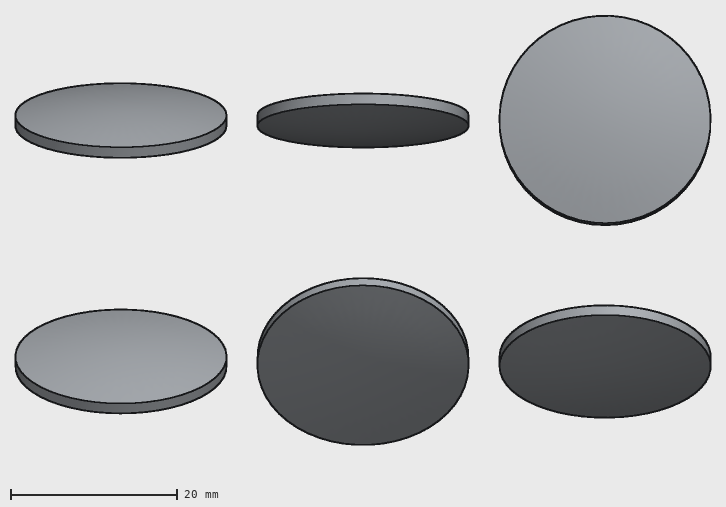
import cadquery as cq

lens_diameter = 25.4
center_thickness = 3.89
rim_thickness = 1.35

lens_radius = lens_diameter / 2
half_center = center_thickness / 2
half_rim = rim_thickness / 2

dome_height = half_center - half_rim
sphere_radius = (lens_radius**2 + dome_height**2) / (2 * dome_height)

half_section = (
    cq.Workplane("XZ")
    .moveTo(0, -half_center)
    .radiusArc((lens_radius, -half_rim), -sphere_radius)
    .lineTo(lens_radius, half_rim)
    .radiusArc((0, half_center), -sphere_radius)
    .close()
)

result = half_section.revolve(360, (0, 0, 0), (0, 1, 0))